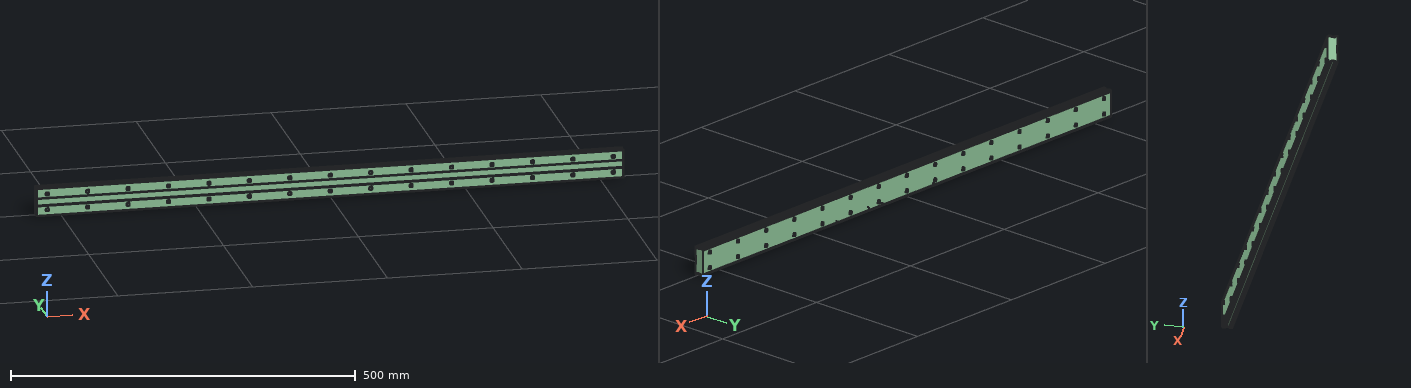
import cadquery as cq

length = 870.0
thickness = 15.0
width = 42.0

base_flank = 3.2
groove_depth = 1.5
groove_base_slope = 1.0
groove_floor = 4.5
groove_head_slope = 1.85

base_chamfer = 0.5
head_chamfer = 2.1

relief_floor_width = 10.0
relief_depth = 1.0

hole_diameter = 4.5
hole_pitch = 60.0
holes_per_row = 15
row_spacing = 24.0

base_face = -thickness / 2
head_face = thickness / 2
half_width = width / 2


def make_rail():
    """Extrude the symmetric cross-section along X, centred on the origin."""
    relief_floor = base_face + relief_depth
    relief_half_floor = relief_floor_width / 2
    relief_half_mouth = relief_half_floor + relief_depth

    flank_end = base_face + base_flank
    floor_start = flank_end + groove_base_slope
    floor_end = floor_start + groove_floor
    head_flank_start = floor_end + groove_head_slope
    floor_height = half_width - groove_depth

    upper_half = [
        (relief_floor, relief_half_floor),
        (base_face, relief_half_mouth),
        (base_face, half_width - base_chamfer),
        (base_face + base_chamfer, half_width),
        (flank_end, half_width),
        (floor_start, floor_height),
        (floor_end, floor_height),
        (head_flank_start, half_width),
        (head_face - head_chamfer, half_width),
        (head_face, half_width - head_chamfer),
    ]
    lower_half = [(y, -z) for y, z in reversed(upper_half)]
    section = cq.Workplane("YZ", origin=(-length / 2, 0, 0))
    return section.polyline(upper_half + lower_half).close().extrude(length)


def make_holes():
    """Two rows of plain through holes along Y."""
    return (
        cq.Workplane("XZ", origin=(0, head_face, 0))
        .rarray(hole_pitch, row_spacing, holes_per_row, 2)
        .circle(hole_diameter / 2)
        .extrude(thickness)
    )


result = make_rail().cut(make_holes())